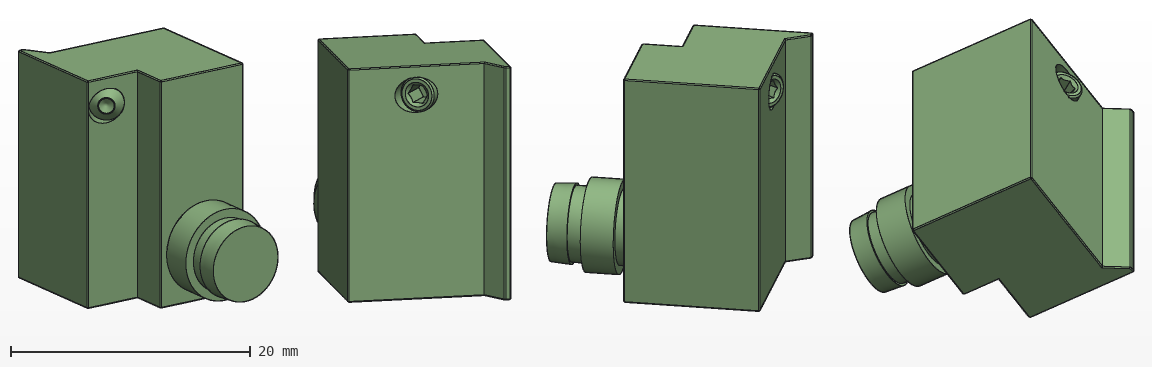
import cadquery as cq
import math

height = 20.0
depth = 13.5
foot_reach = 2.0
foot_edge_depth = 0.55
foot_root_depth = 1.85
step_x = 10.2
step_y = 5.05
connector_face_x = 13.6
edge_chamfer = 0.1

connector_y = 9.0
connector_z = 5.0
neck_diameter = 6.46
collar_diameter = 8.0
collar_start_x = 14.55
collar_end_x = 17.35
lip_start_x = 18.6
lip_start_diameter = 6.85
lip_end_diameter = 6.6
overall_length = 20.35

screw_diameter = 3.0
screw_length = 9.92
screw_head_x = 2.1
screw_hole_y = 7.65
screw_tilt = 35.0
screw_z = 17.5
head_chamfer = 0.15
tip_chamfer = 0.77
cup_diameter = 1.3
cup_depth = 0.35
socket_across_flats = 1.5
socket_depth = 2.5
socket_mouth_diameter = 2.1

screw_radius = screw_diameter / 2
screw_head_y = screw_hole_y - (screw_head_x - foot_reach) * math.tan(math.radians(screw_tilt))
screw_plane = cq.Plane(
    origin=(screw_head_x, screw_head_y, screw_z),
    xDir=(math.sin(math.radians(screw_tilt)), math.cos(math.radians(screw_tilt)), 0),
    normal=(math.cos(math.radians(screw_tilt)), -math.sin(math.radians(screw_tilt)), 0),
)


def make_block():
    """Stepped block with the dovetail foot and chamfered outer edges."""
    outline = [
        (0, 0),
        (step_x, 0),
        (step_x, step_y),
        (connector_face_x, step_y),
        (connector_face_x, depth),
        (foot_reach, depth),
        (foot_reach, foot_root_depth),
        (0, foot_edge_depth),
    ]
    outer_corners = cq.selectors.SumSelector(
        cq.selectors.StringSyntaxSelector("|Z and (>X or <X or >Y or <Y)"),
        cq.selectors.NearestToPointSelector((step_x, 0, height / 2)),
    )
    block = cq.Workplane("XY").polyline(outline).close().extrude(height)
    block = block.edges(outer_corners).chamfer(edge_chamfer)
    return block.faces("<Z or >Z").chamfer(edge_chamfer)


def make_connector():
    """Neck, collar and tapered lip, revolved about the connector axis."""
    profile = [
        (step_x, 0),
        (step_x, neck_diameter / 2),
        (collar_start_x, neck_diameter / 2),
        (collar_start_x, collar_diameter / 2),
        (collar_end_x, collar_diameter / 2),
        (collar_end_x, neck_diameter / 2),
        (lip_start_x, neck_diameter / 2),
        (lip_start_x, lip_start_diameter / 2),
        (overall_length, lip_end_diameter / 2),
        (overall_length, 0),
    ]
    connector = cq.Workplane("XY").polyline(profile).close().revolve(360, (0, 0, 0), (1, 0, 0))
    return connector.translate((0, connector_y, connector_z))


def make_housing():
    """Block and connector in one piece, with the tilted screw hole right through the block."""
    screw_hole = cq.Workplane(screw_plane).circle(screw_radius).extrude(2 * screw_length, both=True)
    return make_block().cut(screw_hole).union(make_connector())


def make_screw():
    """Set screw with a hexagon socket in the head end and a chamfered cup point."""
    profile = [
        (0, 0),
        (screw_radius - head_chamfer, 0),
        (screw_radius, head_chamfer),
        (screw_radius, screw_length - tip_chamfer),
        (screw_radius - tip_chamfer, screw_length),
        (cup_diameter / 2, screw_length),
        (0, screw_length - cup_depth),
    ]
    shank_plane = cq.Plane(screw_plane.origin, screw_plane.xDir, -screw_plane.yDir)
    shank = cq.Workplane(shank_plane).polyline(profile).close().revolve(360, (0, 0, 0), (0, 1, 0))
    socket_across_corners = socket_across_flats / math.cos(math.pi / 6)
    socket = cq.Workplane(screw_plane).polygon(6, socket_across_corners).extrude(socket_depth)
    mouth_radius = socket_mouth_diameter / 2
    mouth = cq.Solid.makeCone(mouth_radius, 0, mouth_radius, screw_plane.origin, screw_plane.zDir)
    return shank.cut(socket).cut(mouth)


housing = make_housing()
screw = make_screw()
result = cq.Compound.makeCompound([housing.val(), screw.val()])